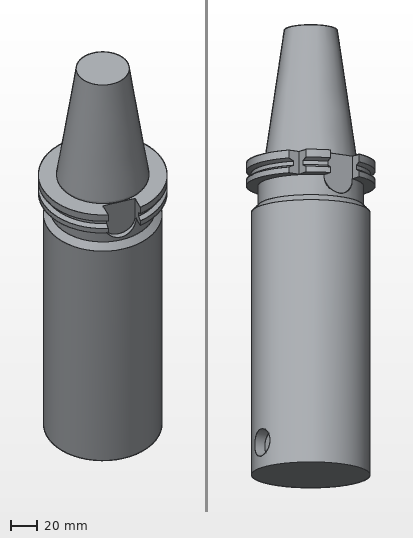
import cadquery as cq
import math

total_height = 344.8
taper_length = 101.7
flange_gap = 1.5
flange_thickness = 17.5
body_height = 203.5

taper_small_diameter = 40.5
taper_large_diameter = 70.0
flange_diameter = 97.5
neck_diameter = 80.0
body_diameter = 90.0

groove_depth = 3.5
groove_floor_width = 3.0
groove_side_angle = 30.0
groove_below_gauge = 11.0

slot_width = 26.0
left_slot_floor = 38.0
right_slot_floor = 35.5
notch_x = 29.3
notch_y = 29.5

side_hole_diameter = 21.0
side_hole_height = 19.5
side_hole_depth = 10.5

gauge_height = total_height - taper_length
flange_top = gauge_height - flange_gap
flange_bottom = flange_top - flange_thickness
body_radius = body_diameter / 2
neck_radius = neck_diameter / 2
flange_radius = flange_diameter / 2
taper_large_radius = taper_large_diameter / 2
shoulder_top = body_height + body_radius - neck_radius


def turned_shank():
    """Taper, flange with V-groove, neck and body as one revolved profile."""
    groove_center = gauge_height - groove_below_gauge
    groove_radius = flange_radius - groove_depth
    half_floor = groove_floor_width / 2
    half_mouth = half_floor + groove_depth * math.tan(math.radians(groove_side_angle))
    profile = [
        (0, 0),
        (body_radius, 0),
        (body_radius, body_height),
        (neck_radius, shoulder_top),
        (neck_radius, flange_bottom),
        (flange_radius, flange_bottom),
        (flange_radius, groove_center - half_mouth),
        (groove_radius, groove_center - half_floor),
        (groove_radius, groove_center + half_floor),
        (flange_radius, groove_center + half_mouth),
        (flange_radius, flange_top),
        (taper_large_radius, flange_top),
        (taper_large_radius, gauge_height),
        (taper_small_diameter / 2, total_height),
        (0, total_height),
    ]
    return cq.Workplane("XZ").polyline(profile).close().revolve(360, (0, 0), (0, 1))


def drive_slot(side, floor_distance):
    """Round-ended slot cutter, on the +X (side = 1) or -X (side = -1) side."""
    half_width = slot_width / 2
    return (
        cq.Workplane("YZ", origin=(side * floor_distance, 0, 0))
        .moveTo(-half_width, flange_top)
        .lineTo(-half_width, flange_bottom)
        .threePointArc((0, flange_bottom - half_width), (half_width, flange_bottom))
        .lineTo(half_width, flange_top)
        .close()
        .extrude(side * flange_radius)
    )


def orientation_notch():
    """Square-cornered cutter through the flange in the -X, +Y quadrant."""
    return (
        cq.Workplane("XY", origin=(-notch_x, notch_y, flange_bottom))
        .rect(-flange_radius, flange_radius, centered=False)
        .extrude(flange_thickness)
    )


def side_hole():
    """Cutter for the blind hole, running inward from the body surface."""
    return (
        cq.Workplane("XZ", origin=(0, body_radius, side_hole_height))
        .circle(side_hole_diameter / 2)
        .extrude(side_hole_depth)
    )


result = (
    turned_shank()
    .cut(drive_slot(-1, left_slot_floor))
    .cut(drive_slot(1, right_slot_floor))
    .cut(orientation_notch())
    .cut(side_hole())
)